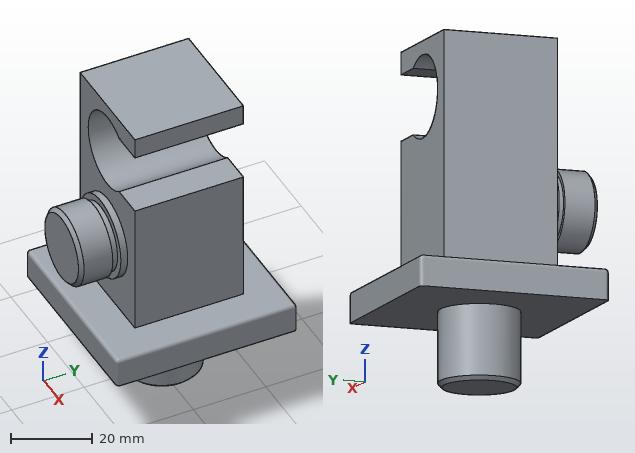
import cadquery as cq

plate_side = 49.7
plate_thickness = 7.9
plate_rounding = 1.0

total_height = 86
inlet_length = 19.0
block_side = 29.9
block_height = total_height - inlet_length - plate_thickness
block_front = -block_side / 2
block_top = plate_thickness + block_height

cradle_diameter = 21.0
cradle_drop = 14.0
mouth_height = 16.7
cradle_z = block_top - cradle_drop

pipe_diameter = 20.5
pipe_chamfer = 1.0
flange_diameter = 22.1
flange_length = 1.9
neck_diameter = 18.5
neck_length = 1.8
total_depth = 52.5
outlet_length = total_depth - plate_side / 2 - block_side / 2
outlet_rise = 19.0
outlet_z = plate_thickness + outlet_rise


def base_plate():
    plate = cq.Workplane("XY").box(plate_side, plate_side, plate_thickness, centered=(True, True, False))
    return plate.edges("|Z or >Z").fillet(plate_rounding)


def upright_block():
    block = (
        cq.Workplane("XY")
        .workplane(offset=plate_thickness)
        .box(block_side, block_side, block_height, centered=(True, True, False))
    )
    cradle_plane = cq.Workplane("XZ", origin=(0, 0, cradle_z))
    cradle = cradle_plane.circle(cradle_diameter / 2).extrude(block_side / 2, both=True)
    mouth = cq.Workplane("XY").box(
        block_side, block_side, mouth_height, centered=(False, True, True)
    ).translate((0, 0, cradle_z))
    return block.cut(cradle).cut(mouth)


def inlet_pipe():
    pipe = cq.Workplane("XY").circle(pipe_diameter / 2).extrude(-inlet_length)
    return pipe.faces("<Z").chamfer(pipe_chamfer)


def front_disc(diameter, start, length):
    """Disc on the outlet axis, starting a given distance in front of the block."""
    plane = cq.Workplane("XZ", origin=(0, block_front - start, outlet_z))
    return plane.circle(diameter / 2).extrude(length)


def front_outlet():
    head_start = flange_length + neck_length
    flange = front_disc(flange_diameter, 0, flange_length)
    neck = front_disc(neck_diameter, flange_length, neck_length)
    head = front_disc(pipe_diameter, head_start, outlet_length - head_start)
    head = head.faces("<Y").chamfer(pipe_chamfer)
    return flange.union(neck).union(head)


result = base_plate().union(upright_block()).union(inlet_pipe()).union(front_outlet())